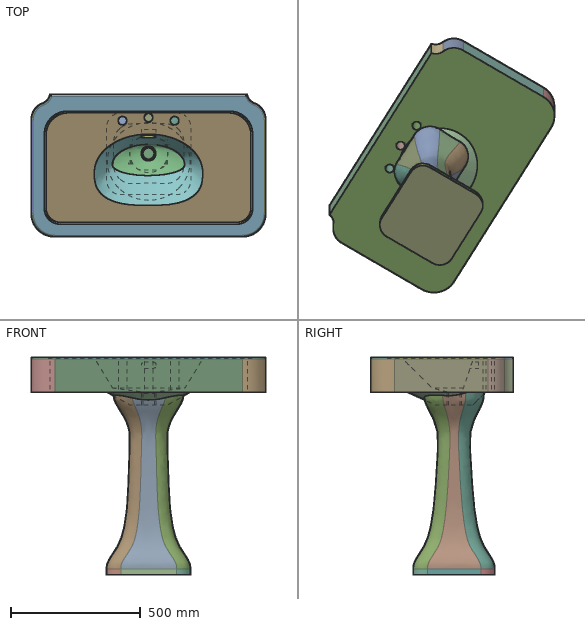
import cadquery as cq
import math

TOTAL_HEIGHT = 840.0
BASIN_WIDTH = 905.0
BASIN_DEPTH = 550.0
BASIN_THICKNESS = 136.0
UNDERSIDE_Z = TOTAL_HEIGHT - BASIN_THICKNESS
HALF_WIDTH = BASIN_WIDTH / 2
HALF_DEPTH = BASIN_DEPTH / 2

FRONT_CORNER_RADIUS = 90.5
BACK_EDGE_HALF_WIDTH = 380.0
SIDE_END_Y = 176.5
SHOULDER_X = 408.0
SHOULDER_Y = 241.0
RIM_FILLET = 7.0

DECK_HALF_WIDTH = 402.0
DECK_BACK_Y = 210.0
DECK_FRONT_Y = -226.0
DECK_BACK_RADIUS = 90.5
DECK_FRONT_RADIUS = 62.0
DECK_RECESS = 4.5
DECK_SLOPE_RUN = 7.0
DECK_Z = TOTAL_HEIGHT - DECK_RECESS

TAP_HOLE_DIAMETER = 33.0
SIDE_TAP_X = 100.5
SIDE_TAP_Y = 173.0
MIDDLE_TAP_Y = 185.0

AXIS_Y = 46.0

DRAIN_OUTER_RADIUS = 28.0
DRAIN_INNER_RADIUS = 22.0
DRAIN_TOP_Z = UNDERSIDE_Z + 3.0

MOUTH_HALF_WIDTH = 209.0
MOUTH_BACK_Y = 121.0
MOUTH_WIDEST_Y = -27.0
MOUTH_FRONT_Y = -154.0
FLOOR_HALF_WIDTH = 139.0
FLOOR_BACK_Y = 81.5
FLOOR_WIDEST_Y = 3.0
FLOOR_FRONT_Y = -39.0
FLOOR_EDGE_Z = 721.0
MOUTH_FRONT_SQUARENESS = 2.7
ROUND = 2.0

OVERFLOW_WIDTH = 57.0
OVERFLOW_HEIGHT = 24.0
OVERFLOW_FLOOR_Z = 797.5
OVERFLOW_BACK_Y = 140.0

UNDERBOWL_HALF_WIDTH = 159.0
UNDERBOWL_BACK_Y = 167.0
UNDERBOWL_FRONT_Y = -133.0
UNDERBOWL_BOTTOM_Z = 656.0
UNDERBOWL_BOTTOM_RADIUS = 72.0

FOOT_HALF_WIDTH = 162.0
FOOT_HALF_DEPTH = 157.5
FOOT_HEIGHT = 24.0
FOOT_CORNER_RADIUS = 54.0
PEDESTAL_SECTIONS = [
    (50.0, 157.0, 152.0, 54.0),
    (109.0, 120.0, 117.0, 54.0),
    (185.0, 94.0, 90.5, 50.0),
    (317.0, 80.0, 73.0, 47.0),
    (487.0, 73.0, 62.5, 45.0),
    (552.0, 74.0, 64.0, 47.0),
    (602.0, 90.5, 80.0, 56.0),
    (656.0, 123.0, 107.0, 68.0),
    (UNDERSIDE_Z, 136.0, 116.0, 72.0),
]

OUTLINE_POINTS = 32


def egg_wire(half_width, back_y, widest_y, front_y, z, front_squareness=ROUND):
    """Closed curve: half an ellipse at the back and half a superellipse at the front."""
    points = []
    for i in range(OUTLINE_POINTS):
        angle = 2 * math.pi * i / OUTLINE_POINTS
        across = math.cos(angle)
        along = math.sin(angle)
        reach = back_y - widest_y if along >= 0 else widest_y - front_y
        power = 2 / (ROUND if along >= 0 else front_squareness)
        x = half_width * math.copysign(abs(across) ** power, across)
        y = widest_y + reach * math.copysign(abs(along) ** power, along)
        points.append(cq.Vector(x, y, z))
    return cq.Wire.assembleEdges([cq.Edge.makeSpline(points, periodic=True)])


def ring_wire(radius, z):
    """Circle about the column axis, started and divided like the egg outlines."""
    return egg_wire(radius, AXIS_Y + radius, AXIS_Y, AXIS_Y - radius, z)


def rounded_outline(half_width, back_y, front_y, back_radius, front_radius, z):
    """Symmetric rectangle with separate corner radii at the back and at the front."""
    def arc_middle(radius):
        return radius * (1 - math.sqrt(0.5))

    front_mid = arc_middle(front_radius)
    back_mid = arc_middle(back_radius)
    return (
        cq.Workplane("XY", origin=(0, 0, z))
        .moveTo(-half_width + front_radius, front_y)
        .lineTo(half_width - front_radius, front_y)
        .threePointArc(
            (half_width - front_mid, front_y + front_mid), (half_width, front_y + front_radius)
        )
        .lineTo(half_width, back_y - back_radius)
        .threePointArc(
            (half_width - back_mid, back_y - back_mid), (half_width - back_radius, back_y)
        )
        .lineTo(-half_width + back_radius, back_y)
        .threePointArc(
            (-half_width + back_mid, back_y - back_mid), (-half_width, back_y - back_radius)
        )
        .lineTo(-half_width, front_y + front_radius)
        .threePointArc(
            (-half_width + front_mid, front_y + front_mid), (-half_width + front_radius, front_y)
        )
        .close()
    )


def loft(wires, ruled):
    return cq.Workplane(cq.Solid.makeLoft(wires, ruled))


def cylinder(radius, x, y, bottom_z, top_z):
    return cq.Workplane("XY", origin=(x, y, bottom_z)).circle(radius).extrude(top_z - bottom_z)


def make_slab():
    half = (
        cq.Workplane("XY", origin=(0, 0, UNDERSIDE_Z))
        .moveTo(0, -HALF_DEPTH)
        .lineTo(HALF_WIDTH - FRONT_CORNER_RADIUS, -HALF_DEPTH)
        .tangentArcPoint((HALF_WIDTH, -HALF_DEPTH + FRONT_CORNER_RADIUS), relative=False)
        .lineTo(HALF_WIDTH, SIDE_END_Y)
        .tangentArcPoint((SHOULDER_X, SHOULDER_Y), relative=False)
        .tangentArcPoint((BACK_EDGE_HALF_WIDTH, HALF_DEPTH), relative=False)
        .lineTo(0, HALF_DEPTH)
    )
    slab = half.mirrorY().extrude(BASIN_THICKNESS)
    return slab.faces(">Z").edges().fillet(RIM_FILLET)


def make_deck_recess():
    wires = []
    for inset, z in ((0, TOTAL_HEIGHT), (DECK_SLOPE_RUN, DECK_Z)):
        outline = rounded_outline(
            DECK_HALF_WIDTH - inset,
            DECK_BACK_Y - inset,
            DECK_FRONT_Y + inset,
            DECK_BACK_RADIUS - inset,
            DECK_FRONT_RADIUS - inset,
            z,
        )
        wires.append(outline.val())
    return loft(wires, ruled=True)


def make_bowl_cavity():
    mouth = egg_wire(
        MOUTH_HALF_WIDTH,
        MOUTH_BACK_Y,
        MOUTH_WIDEST_Y,
        MOUTH_FRONT_Y,
        DECK_Z,
        MOUTH_FRONT_SQUARENESS,
    )
    floor_edge = egg_wire(
        FLOOR_HALF_WIDTH, FLOOR_BACK_Y, FLOOR_WIDEST_Y, FLOOR_FRONT_Y, FLOOR_EDGE_Z
    )
    drain_rings = [ring_wire(DRAIN_OUTER_RADIUS, z) for z in (DRAIN_TOP_Z, UNDERSIDE_Z)]
    return loft([mouth, floor_edge, *drain_rings], ruled=True)


def make_overflow_slot():
    start_y = FLOOR_BACK_Y
    centre_z = OVERFLOW_FLOOR_Z + OVERFLOW_HEIGHT / 2
    return (
        cq.Workplane("XZ", origin=(0, start_y, centre_z))
        .slot2D(OVERFLOW_WIDTH, OVERFLOW_HEIGHT)
        .extrude(start_y - OVERFLOW_BACK_Y)
    )


def make_drain_bore():
    rings = [ring_wire(DRAIN_OUTER_RADIUS, z) for z in (UNDERBOWL_BOTTOM_Z, DRAIN_TOP_Z)]
    return loft(rings, ruled=True)


def cut_tap_holes(body):
    for x, y in ((-SIDE_TAP_X, SIDE_TAP_Y), (0, MIDDLE_TAP_Y), (SIDE_TAP_X, SIDE_TAP_Y)):
        body = body.cut(cylinder(TAP_HOLE_DIAMETER / 2, x, y, UNDERSIDE_Z, TOTAL_HEIGHT))
    return body


def make_basin():
    basin = make_slab().cut(make_deck_recess())
    basin = basin.cut(make_bowl_cavity()).cut(make_overflow_slot())
    return cut_tap_holes(basin)


def make_underbowl_blank():
    middle_y = (UNDERBOWL_BACK_Y + UNDERBOWL_FRONT_Y) / 2
    top = egg_wire(
        UNDERBOWL_HALF_WIDTH, UNDERBOWL_BACK_Y, middle_y, UNDERBOWL_FRONT_Y, UNDERSIDE_Z
    )
    bottom = ring_wire(UNDERBOWL_BOTTOM_RADIUS, UNDERBOWL_BOTTOM_Z)
    return loft([top, bottom], ruled=True)


def make_drain():
    hole = cylinder(DRAIN_INNER_RADIUS, 0, AXIS_Y, UNDERBOWL_BOTTOM_Z, DRAIN_TOP_Z)
    return make_drain_bore().cut(hole)


def pedestal_section(z, half_width, half_depth, radius):
    return rounded_outline(
        half_width, AXIS_Y + half_depth, AXIS_Y - half_depth, radius, radius, z
    )


def make_pedestal():
    foot_size = (FOOT_HALF_WIDTH, FOOT_HALF_DEPTH, FOOT_CORNER_RADIUS)
    foot = pedestal_section(0, *foot_size).extrude(FOOT_HEIGHT)
    wires = [pedestal_section(FOOT_HEIGHT, *foot_size).val()]
    for section in PEDESTAL_SECTIONS:
        wires.append(pedestal_section(*section).val())
    return foot.union(loft(wires, ruled=False)).cut(make_underbowl_blank())


basin = make_basin()
underbowl = make_underbowl_blank().cut(make_drain_bore())
drain = make_drain()
pedestal = make_pedestal()

result = cq.Compound.makeCompound([body.solids().val() for body in (basin, underbowl, drain, pedestal)])